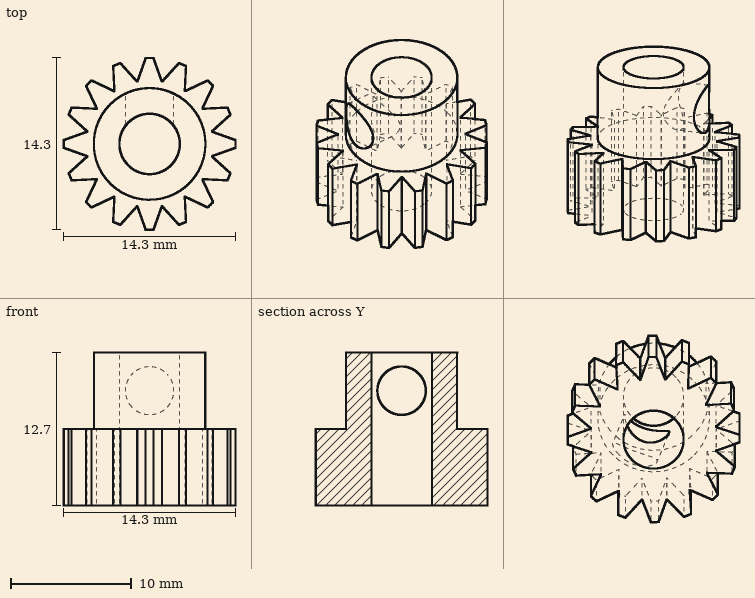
import cadquery as cq
import math

tooth_count = 16
gear_height = 6.35
tip_diameter = 14.288
valley_radius = 5.285
tip_width = 0.65
valley_width = 0.02

hub_diameter = 9.27
hub_height = 6.35
bore_diameter = 5.0
screw_hole_diameter = 4.0

tip_radius = tip_diameter / 2
tooth_pitch = 2 * math.pi / tooth_count
tip_half_angle = math.asin(tip_width / 2 / tip_radius)
valley_half_angle = math.asin(valley_width / 2 / valley_radius)
total_height = gear_height + hub_height
screw_hole_z = gear_height + hub_height / 2


def polar(radius, angle):
    """Point in the XY plane at a radius and an angle from +X."""
    return (radius * math.cos(angle), radius * math.sin(angle))


def make_gear():
    """Straight-flanked teeth with flat tips and very narrow flat valleys."""
    outline = []
    for tooth in range(tooth_count):
        tooth_angle = tooth * tooth_pitch
        outline.append(polar(tip_radius, tooth_angle - tip_half_angle))
        outline.append(polar(tip_radius, tooth_angle + tip_half_angle))
        valley_angle = tooth_angle + tooth_pitch / 2
        outline.append(polar(valley_radius, valley_angle - valley_half_angle))
        outline.append(polar(valley_radius, valley_angle + valley_half_angle))
    return cq.Workplane("XY").polyline(outline).close().extrude(gear_height)


def make_hub():
    """Plain cylinder rising through the gear from its base."""
    return cq.Workplane("XY").circle(hub_diameter / 2).extrude(total_height)


def make_bore():
    """Through hole along the Z axis."""
    return cq.Workplane("XY").circle(bore_diameter / 2).extrude(total_height)


def make_screw_hole():
    """Radial hole from the bore axis out through the +Y wall of the hub."""
    return (
        cq.Workplane("XZ", origin=(0, 0, screw_hole_z))
        .circle(screw_hole_diameter / 2)
        .extrude(-hub_diameter)
    )


result = make_gear().union(make_hub()).cut(make_bore()).cut(make_screw_hole())